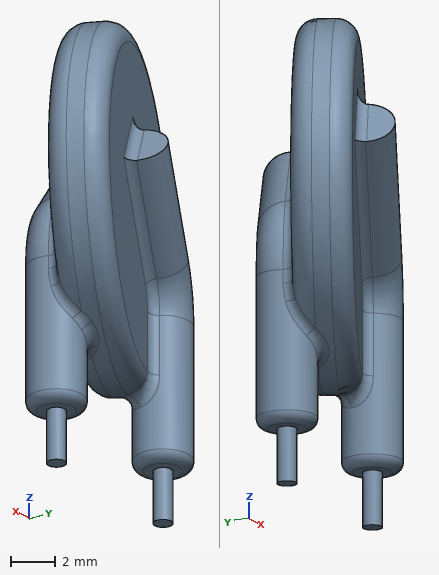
import cadquery as cq
import math

total_height = 22.5
disc_radius = 8.5
disc_thickness = 2.8
disc_rim_fillet = 1.0
disc_tilt = 25.0
lead_pitch = 8.25
coat_radius = 1.4
coat_end_fillet = 0.5
wire_radius = 0.45
wire_length = 2.56
bend_start_height = 9.65
bend_radius = 3.25
bend_angle = 53.0
front_arm_length = 7.7
rear_arm_length = 6.16
joint_fillet = 0.5
contact_tolerance = 0.0002

disc_center_z = total_height - disc_radius
lead_x = lead_pitch / 2 * math.cos(math.radians(disc_tilt))
lead_y = -lead_pitch / 2 * math.sin(math.radians(disc_tilt))


def make_disc():
    """Upright disc with its axis along Y and a rounded rim."""
    disc = cq.Workplane("XZ").circle(disc_radius).extrude(disc_thickness / 2, both=True)
    return disc.edges().fillet(disc_rim_fillet).translate((0, 0, disc_center_z))


def make_coat(arm_length):
    """Coat that rises vertically, bends and crosses the front face of the disc."""
    def bend_point(angle):
        turn = math.radians(angle)
        return (
            lead_x - bend_radius * (1 - math.cos(turn)),
            bend_start_height + bend_radius * math.sin(turn),
        )

    bend_end = bend_point(bend_angle)
    slope = math.radians(bend_angle)
    arm_end = (
        bend_end[0] - arm_length * math.sin(slope),
        bend_end[1] + arm_length * math.cos(slope),
    )
    path = (
        cq.Workplane("XZ", origin=(0, lead_y, 0))
        .moveTo(lead_x, wire_length)
        .lineTo(lead_x, bend_start_height)
        .threePointArc(bend_point(bend_angle / 2), bend_end)
        .lineTo(*arm_end)
    )
    profile = cq.Workplane("XY", origin=(lead_x, lead_y, wire_length)).circle(coat_radius)
    return profile.sweep(path).faces("<Z").edges().fillet(coat_end_fillet)


def make_wire():
    """Bare wire, continuing a little way into the coat."""
    wire = cq.Workplane("XY").circle(wire_radius).extrude(wire_length + coat_radius)
    return wire.translate((lead_x, lead_y, 0))


def half_turn(shape):
    """Carry a front lead to its place on the rear face."""
    return shape.rotate((0, 0, 0), (0, 0, 1), 180)


def blend_joint(body, coat, disc):
    """Round the seam where a coat meets the disc."""
    def touches(shape, vertex):
        return min(face.distance(vertex) for face in shape.faces().vals()) < contact_tolerance

    seam = []
    for edge in body.edges().vals():
        middle = cq.Vertex.makeVertex(*edge.positionAt(0.5).toTuple())
        if touches(coat, middle) and touches(disc, middle):
            seam.append(edge)
    return body.newObject(seam).fillet(joint_fillet)


disc = make_disc()
front_coat = make_coat(front_arm_length)
rear_coat = half_turn(make_coat(rear_arm_length))
front_wire = make_wire()

body = disc
for coat in (front_coat, rear_coat):
    body = blend_joint(body.union(coat), coat, disc)

body = body.union(front_wire).union(half_turn(front_wire))

result = body.rotate((0, 0, 0), (0, 0, 1), disc_tilt)